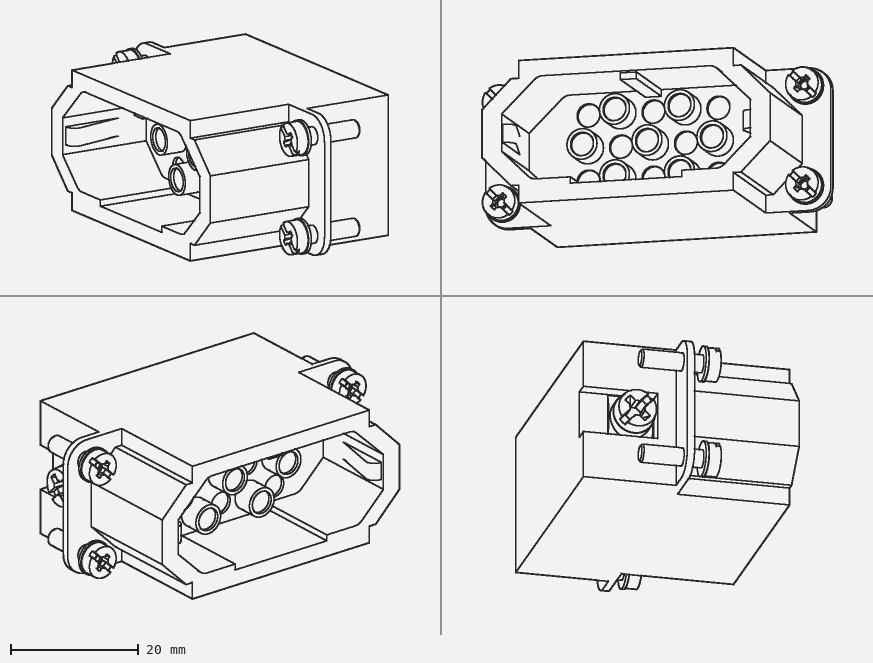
import cadquery as cq
import math


total_length = 34.3
housing_height = 22.8
rear_width = 42.2
flange_width = 56.3
flange_front = 18.15
flange_thickness = 1.2
flange_corner_radius = 3.65
flange_rear = flange_front + flange_thickness

hood_width = 46.95
hood_height = 17.1
hood_chamfer = 4.75
hood_block_width = 35.0

cavity_half_width = 20.25
cavity_side_half_height = 3.0
cavity_top = 8.7
cavity_bottom = -7.7
cavity_top_half_width = 14.35
cavity_bottom_half_width = 15.4
cavity_corner_radius = 1.95
cavity_depth = 15.4
floor_channel_width = 18.15
floor_channel_bottom = -8.7

top_key_start = 1.35
top_key_width = 2.6
top_key_height = 1.05
side_key_start = 0.55
side_key_height = 2.9
side_key_depth = 1.75
side_key_nose_radius = 1.6
side_key_end = 10.25

contact_pitch = 5.3
contact_columns = 5
contact_rows = 3
contact_bore_diameter = 3.7
contact_bore_depth = 0.55
sleeve_diameter = 4.9
sleeve_length = 3.65

screw_x = 24.7
screw_z = 8.0
screw_head_front = 13.5
screw_head_height = 2.6
screw_head_diameter = 5.3
screw_face_diameter = 4.5
screw_face_bevel = 0.1
screw_rim_diameter = 5.65
screw_rim_height = 0.5
screw_shank_diameter = 2.85
screw_pilot_diameter = 1.35
screw_pilot_depth = 1.8
screw_tip = 26.05
screw_tip_chamfer = 0.3

groove_height = 7.6
groove_start = 22.25
groove_depth = 2.5
terminal_y = 26.2
clamp_length = 7.15
clamp_height = 7.3
clamp_radius = 7.9
terminal_face_x = -23.7
terminal_face_radius = 3.05
terminal_base_radius = 3.3
terminal_head_height = 2.3
terminal_rim_radius = 3.4
groove_floor_x = groove_depth - rear_width / 2

overlap = 0.55


def box(x_range, y_range, z_range):
    """Axis-aligned box between pairs of limits."""
    size = [high - low for low, high in (x_range, y_range, z_range)]
    corner = (x_range[0], y_range[0], z_range[0])
    return cq.Workplane("XY").box(*size, centered=False).translate(corner)


def centred_box(width, y_range, height):
    return box((-width / 2, width / 2), y_range, (-height / 2, height / 2))


def rod(x, z, y_range, diameter):
    """Cylinder along Y."""
    plane = cq.Plane(origin=(x, y_range[0], z), xDir=(1, 0, 0), normal=(0, 1, 0))
    return cq.Workplane(plane).circle(diameter / 2).extrude(y_range[1] - y_range[0])


def make_housing():
    rear = centred_box(rear_width, (flange_front, total_length), housing_height)
    flange = centred_box(flange_width, (flange_front, flange_rear), housing_height)
    flange = flange.edges("|Y").fillet(flange_corner_radius)
    hood_block = centred_box(hood_block_width, (0, flange_rear), housing_height)
    hood = centred_box(hood_width, (0, flange_rear), hood_height)
    hood = hood.edges("|Y").chamfer(hood_chamfer)
    return rear.union(flange).union(hood_block).union(hood)


def make_cavity():
    right_side = [
        (cavity_bottom_half_width, cavity_bottom),
        (cavity_half_width, -cavity_side_half_height),
        (cavity_half_width, cavity_side_half_height),
        (cavity_top_half_width, cavity_top),
    ]
    left_side = [(-x, z) for x, z in reversed(right_side)]
    cavity = cq.Workplane("XZ").polyline(right_side + left_side).close().extrude(-cavity_depth)
    cavity = cavity.edges("|Y").edges(">Z or <Z").fillet(cavity_corner_radius)
    channel = box(
        (-floor_channel_width / 2, floor_channel_width / 2),
        (0, cavity_depth),
        (floor_channel_bottom, 0),
    )
    return cavity.union(channel)


def make_top_key():
    return box(
        (-top_key_width / 2, top_key_width / 2),
        (top_key_start, cavity_depth + overlap),
        (cavity_top - top_key_height, cavity_top + overlap),
    )


def make_side_key():
    """Key on the +X wall: rounded nose, then a straight taper back to the wall."""
    crest = cavity_half_width - side_key_depth
    root = cavity_half_width + overlap
    radius = side_key_nose_radius
    arc_mid = radius * (1 - math.sqrt(0.5))
    return (
        cq.Workplane("XY", origin=(0, 0, -side_key_height / 2))
        .moveTo(root, side_key_start)
        .lineTo(crest + radius, side_key_start)
        .threePointArc(
            (crest + arc_mid, side_key_start + arc_mid),
            (crest, side_key_start + radius),
        )
        .lineTo(cavity_half_width, side_key_end)
        .lineTo(root, side_key_end)
        .close()
        .extrude(side_key_height)
    )


def add_contacts(body):
    """Bores in a staggered pattern, with raised sleeves at every second position."""
    for column in range(contact_columns):
        for row in range(contact_rows):
            x = (column - (contact_columns - 1) / 2) * contact_pitch
            z = (row - (contact_rows - 1) / 2) * contact_pitch
            mouth = cavity_depth
            if (column + row) % 2 == 1:
                mouth = cavity_depth - sleeve_length
                body = body.union(rod(x, z, (mouth, cavity_depth + overlap), sleeve_diameter))
            body = body.cut(rod(x, z, (mouth, mouth + contact_bore_depth), contact_bore_diameter))
    return body


def drive_cutter(blade_width, slot_length, slot_depth, arm_reach, core_radius, core_depth):
    """Slot and tapered cross recess below local Z = 0, slot along local X."""
    slot = cq.Workplane("XY").box(
        slot_length, blade_width, slot_depth, centered=(True, True, False)
    ).translate((0, 0, -slot_depth))
    arm = (
        cq.Workplane("XZ")
        .polyline([
            (-arm_reach, 0),
            (arm_reach, 0),
            (core_radius, -core_depth),
            (-core_radius, -core_depth),
        ])
        .close()
        .extrude(blade_width / 2, both=True)
    )
    cross_arm = arm.rotate((0, 0, 0), (0, 0, 1), 90)
    core = cq.Workplane("XY").circle(core_radius).extrude(-core_depth)
    return slot.union(arm).union(cross_arm).union(core)


def turned(profile):
    """Solid of revolution about local Z from (radius, height) points."""
    return cq.Workplane("XZ").polyline(profile).close().revolve(360, (0, 0, 0), (0, 1, 0))


def place(shape, origin, slot_direction, outward):
    """Move a screw so its head face centre, slot and outward axis fit the housing."""
    plane = cq.Plane(origin=origin, xDir=slot_direction, normal=outward)
    return cq.Workplane(shape.val().moved(plane.location))


def make_flange_screw():
    face_radius = screw_face_diameter / 2
    head_radius = screw_head_diameter / 2
    rim_radius = screw_rim_diameter / 2
    shank_radius = screw_shank_diameter / 2
    rim_top = screw_rim_height - screw_head_height
    tip = screw_head_front - screw_tip
    screw = turned([
        (0, 0),
        (face_radius, 0),
        (head_radius, -screw_face_bevel),
        (head_radius, rim_top),
        (rim_radius, rim_top),
        (rim_radius, -screw_head_height),
        (shank_radius, -screw_head_height),
        (shank_radius, tip + screw_tip_chamfer),
        (shank_radius - screw_tip_chamfer, tip),
        (0, tip),
    ])
    drive = drive_cutter(
        blade_width=0.85,
        slot_length=screw_rim_diameter + overlap,
        slot_depth=0.8,
        arm_reach=1.4,
        core_radius=0.95,
        core_depth=1.45,
    )
    pilot = cq.Workplane("XY").circle(screw_pilot_diameter / 2).extrude(-screw_pilot_depth)
    return screw.cut(drive).cut(pilot)


def make_terminal_screw():
    floor = terminal_face_x - groove_floor_x
    screw = turned([
        (0, 0),
        (terminal_face_radius, 0),
        (terminal_base_radius, -terminal_head_height),
        (terminal_rim_radius, -terminal_head_height),
        (terminal_rim_radius, floor - overlap),
        (0, floor - overlap),
    ])
    drive = drive_cutter(
        blade_width=1.2,
        slot_length=2 * terminal_rim_radius + overlap,
        slot_depth=1.0,
        arm_reach=2.25,
        core_radius=1.25,
        core_depth=3.15,
    )
    return screw.cut(drive)


def make_groove():
    return box(
        (-rear_width / 2, groove_floor_x),
        (groove_start, total_length),
        (-groove_height / 2, groove_height / 2),
    )


def make_clamp():
    """Arched clamp plate lying on the groove floor under the terminal screw."""
    half_chord = clamp_height / 2
    rise = clamp_radius - math.sqrt(clamp_radius**2 - half_chord**2)
    return (
        cq.Workplane("XZ", origin=(0, terminal_y + clamp_length / 2, 0))
        .moveTo(groove_floor_x, -half_chord)
        .threePointArc((groove_floor_x - rise, 0), (groove_floor_x, half_chord))
        .lineTo(groove_floor_x + overlap, half_chord)
        .lineTo(groove_floor_x + overlap, -half_chord)
        .close()
        .extrude(clamp_length)
    )


body = make_housing().cut(make_cavity())
side_key = make_side_key()
body = body.union(make_top_key()).union(side_key).union(side_key.mirror("YZ"))
body = add_contacts(body)
body = body.cut(make_groove()).union(make_clamp())

terminal_screw = place(
    make_terminal_screw(), (terminal_face_x, terminal_y, 0), (0, -1, 1), (-1, 0, 0)
)
body = body.union(terminal_screw)

flange_screw = make_flange_screw()
for x in (-screw_x, screw_x):
    for z in (-screw_z, screw_z):
        body = body.union(place(flange_screw, (x, screw_head_front, z), (1, 0, -1), (0, -1, 0)))

result = body